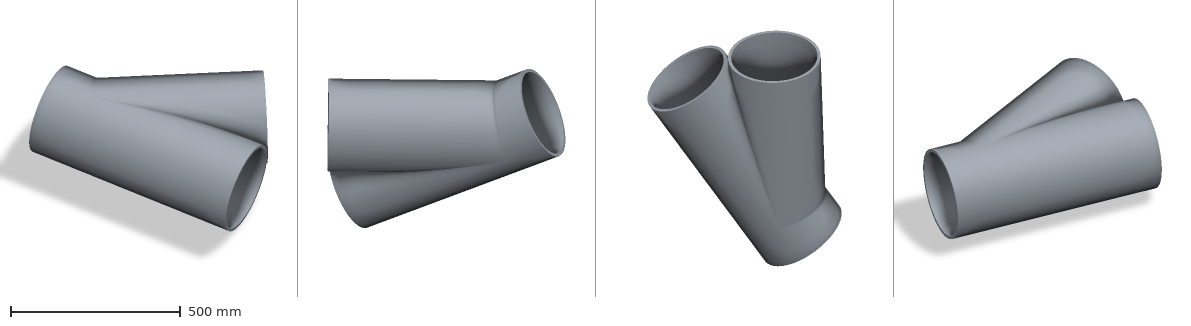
import cadquery as cq
import math

run_length = 648.0
outer_diameter = 273.5
inner_diameter = 254.5
branch_angle = 30.0
branch_length = 520.0
crossing_x = 128.0

branch_slope = math.radians(branch_angle)
branch_direction = cq.Vector(math.cos(branch_slope), math.sin(branch_slope), 0)
run_start = cq.Vector(0, 0, 0)
run_direction = cq.Vector(1, 0, 0)
crossing = cq.Vector(crossing_x, 0, 0)


def lateral_body(diameter):
    """Union of the run and branch cylinders at one common diameter."""
    radius = diameter / 2
    run = cq.Solid.makeCylinder(radius, run_length, run_start, run_direction)
    branch = cq.Solid.makeCylinder(radius, branch_length, crossing, branch_direction)
    return cq.Workplane(run).union(cq.Workplane(branch))


result = lateral_body(outer_diameter).cut(lateral_body(inner_diameter))